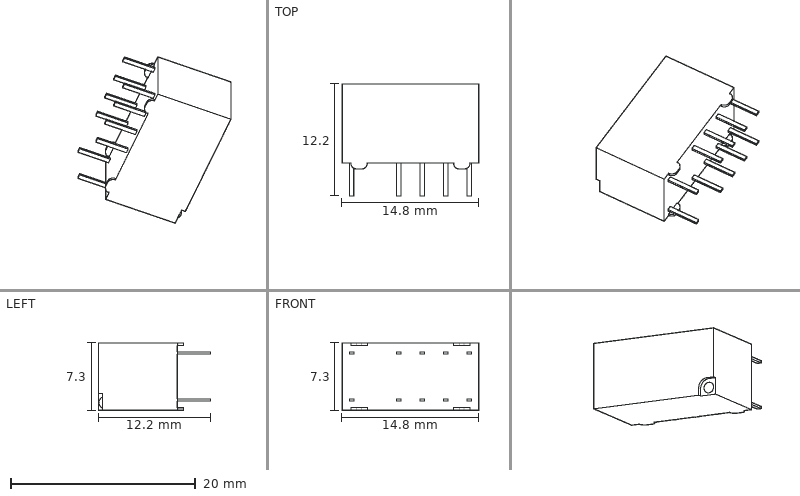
import cadquery as cq

length = 14.8
body_depth = 8.57
height = 7.3
overall_depth = 12.15

pin_width = 0.5
pin_thickness = 0.25
pin_pitch = 2.55
pin_slots = (-2.5, -0.5, 0.5, 1.5, 2.5)
pin_row_spacing = 2 * pin_pitch
pin_length = overall_depth - body_depth

foot_width = 1.78
foot_height = 0.65
foot_thickness = 0.3
foot_radius = 0.62
foot_spacing = 11.1

notch_height = 1.84
notch_depth = 0.45
notch_radius = 1.0
dome_height = 0.37
dome_radius = 0.65

body_front = -overall_depth / 2 + pin_length
body_back = overall_depth / 2


def block(size_x, size_y, size_z, x, y_min, z):
    """Box centred on x and z, starting at y_min."""
    return cq.Workplane("XY").box(size_x, size_y, size_z).translate((x, y_min + size_y / 2, z))


def make_foot(x, z_min):
    """Tab with two rounded outer corners."""
    foot = block(foot_width, foot_height, foot_thickness, x,
                 body_front - foot_height, z_min + foot_thickness / 2)
    return foot.faces("<Y").edges("|Z").fillet(foot_radius)


def make_notch():
    """Corner cutter with a rounded upper inner corner."""
    notch = block(notch_height, notch_depth, notch_height,
                  (notch_height - length) / 2, body_back - notch_depth, (notch_height - height) / 2)
    return notch.edges(">X and >Z").fillet(notch_radius)


def make_notch_dome():
    """Spherical cap rising toward +Y from the notch floor, concentric with the rounded corner."""
    offset = notch_height - notch_radius
    center_y = body_back - notch_depth + dome_height - dome_radius
    sphere = cq.Workplane("XY").sphere(dome_radius)
    return sphere.translate((offset - length / 2, center_y, offset - height / 2))


result = block(length, body_depth, height, 0, body_front, 0)
result = result.cut(make_notch())
result = result.union(make_notch_dome())

for z in (-pin_row_spacing / 2, pin_row_spacing / 2):
    for slot in pin_slots:
        pin = block(pin_width, pin_length, pin_thickness, slot * pin_pitch, -overall_depth / 2, z)
        result = result.union(pin)

for x in (-foot_spacing / 2, foot_spacing / 2):
    for z_min in (-height / 2, height / 2 - foot_thickness):
        result = result.union(make_foot(x, z_min))